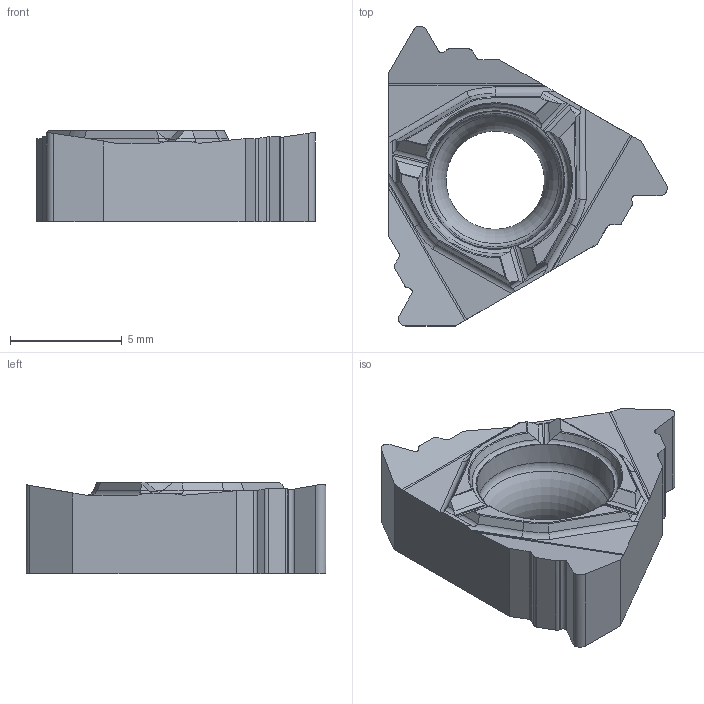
import cadquery as cq
import math

TEETH = 3
PITCH_ANGLE = 360 / TEETH
INSCRIBED_RADIUS = 9.525 / 2
TOP_Z = 4.1
FLOOR_Z = 3.525
PAD_Z = 3.6

FLANK_ANGLE = 60
TIP_RADIUS = 0.32
TIP_CENTER = (-3.368, 6.574)
EDGE_RADIUS = 0.18
LAND_Y = 5.87
LAND_START_X = -2.14
LAND_END_X = -1.075
ROOT_Y = 5.38
VALLEY_RISE_ANGLE = 45

RAKE_ANGLE = 10
RAKE_START_Y = 4.27
RAKE_BLEND_RADIUS = 0.5

FRONT_EDGE = 3.715
FRONT_CORNER_SPAN = 30
BACK_EDGE = 3.61
BACK_EDGE_TURN = 120.7
SIDE_EDGE = 4.237
WALL_DRAFT = 24
FLOOR_FOOT_RADIUS = 0.31
PAD_FOOT_RADIUS = 0.2
TOP_EDGE_RADIUS = 0.05

GROOVE_TURN = 46
GROOVE_FLOOR_HALF_WIDTH = 0.04
GROOVE_WALL_ANGLE = 40
GROOVE_FOOT_RADIUS = 0.3

MOUTH_RADIUS = 3.43
MOUTH_DRAFT = 21.5
LEDGE_Z = 3.62
LEDGE_FOOT_RADIUS = 0.2
LEDGE_RADIUS = 3.07
HEAD_BORE_RADIUS = 3.0
HEAD_BORE_END_Z = 2.69
SEAT_START_RADIUS = 2.845
SEAT_ANGLE = 45
BORE_RADIUS = 2.2

CLEARANCE = 4 * INSCRIBED_RADIUS
OVERSHOOT = 1
MATCH = 1e-4


def around(x, y, degrees):
    """Turn a plan point about the insert axis."""
    a = math.radians(degrees)
    return (x * math.cos(a) - y * math.sin(a), x * math.sin(a) + y * math.cos(a))


def crossing(p, p_angle, q, q_angle):
    """Intersection of two lines, each given by a point and a direction in degrees."""
    ux, uy = math.cos(math.radians(p_angle)), math.sin(math.radians(p_angle))
    vx, vy = math.cos(math.radians(q_angle)), math.sin(math.radians(q_angle))
    t = ((q[0] - p[0]) * vy - (q[1] - p[1]) * vx) / (ux * vy - uy * vx)
    return (p[0] + t * ux, p[1] + t * uy)


def rounded_wire(corners, plane="XY"):
    """Closed outline through (point, radius) corners, each rounded with a tangent arc."""
    stops = []
    for i, (p, radius) in enumerate(corners):
        if radius == 0:
            stops.append((p,))
            continue
        before = corners[i - 1][0]
        after = corners[(i + 1) % len(corners)][0]
        b = math.atan2(before[1] - p[1], before[0] - p[0])
        a = math.atan2(after[1] - p[1], after[0] - p[0])
        half = abs((a - b + math.pi) % (2 * math.pi) - math.pi) / 2
        tangent = radius / math.tan(half)
        bisector = math.atan2(math.sin(a) + math.sin(b), math.cos(a) + math.cos(b))
        reach = radius / math.sin(half) - radius
        stops.append((
            (p[0] + tangent * math.cos(b), p[1] + tangent * math.sin(b)),
            (p[0] + reach * math.cos(bisector), p[1] + reach * math.sin(bisector)),
            (p[0] + tangent * math.cos(a), p[1] + tangent * math.sin(a)),
        ))
    here = stops[0][-1]
    path = cq.Workplane(plane).moveTo(*here)
    for stop in stops[1:] + stops[:1]:
        if math.dist(here, stop[0]) > MATCH:
            path = path.lineTo(*stop[0])
        if len(stop) > 1:
            path = path.threePointArc(stop[1], stop[2])
        here = stop[-1]
    return path.close()


def turned(solid, degrees):
    """The solid turned about the insert axis."""
    return solid.rotate((0, 0, 0), (0, 0, 1), degrees)


def repeat(solid):
    """The solid together with its copies at the other teeth."""
    copies = solid
    for i in range(1, TEETH):
        copies = copies.union(turned(solid, -PITCH_ANGLE * i))
    return copies


def tooth_corners():
    """Corners of one tooth, from the left side of the triangle to the next side."""
    flank = math.radians(FLANK_ANGLE)
    apex = (TIP_CENTER[0], TIP_CENTER[1] + TIP_RADIUS / math.cos(flank))
    side_start = crossing((-INSCRIBED_RADIUS, 0), 90, apex, FLANK_ANGLE)
    land_start = (LAND_START_X, LAND_Y)
    land_end = (LAND_END_X, LAND_Y)
    valley = crossing(apex, -FLANK_ANGLE, land_start, VALLEY_RISE_ANGLE)
    root = crossing(land_end, -FLANK_ANGLE, (0, ROOT_Y), 0)
    next_side = around(-INSCRIBED_RADIUS, 0, -PITCH_ANGLE)
    side_end = crossing((0, ROOT_Y), 0, next_side, 90 - PITCH_ANGLE)
    return [
        (side_start, 0),
        (apex, TIP_RADIUS),
        (valley, EDGE_RADIUS),
        (land_start, EDGE_RADIUS),
        (land_end, EDGE_RADIUS),
        (root, EDGE_RADIUS),
        (side_end, 0),
    ]


def plate():
    """Full-height plate with the toothed outline."""
    corners = []
    for i in range(TEETH):
        corners += [(around(*p, -PITCH_ANGLE * i), r) for p, r in tooth_corners()]
    return rounded_wire(corners).extrude(TOP_Z)


def space_above_rakes():
    """Everything above the floor and the three inclined rake faces."""
    rise = math.tan(math.radians(RAKE_ANGLE)) * (CLEARANCE - RAKE_START_Y)
    profile = [
        ((-CLEARANCE, FLOOR_Z), 0),
        ((RAKE_START_Y, FLOOR_Z), RAKE_BLEND_RADIUS),
        ((CLEARANCE, FLOOR_Z + rise), 0),
        ((CLEARANCE, CLEARANCE), 0),
        ((-CLEARANCE, CLEARANCE), 0),
    ]
    one_space = rounded_wire(profile, "YZ").extrude(CLEARANCE, both=True)
    space = one_space
    for i in range(1, TEETH):
        space = space.intersect(turned(one_space, -PITCH_ANGLE * i))
    return space


def wall_profile(edge, foot_z, foot_radius):
    """Section outside a drafted boss wall whose top edge is `edge` away from the axis."""
    slope = math.tan(math.radians(WALL_DRAFT))
    foot = edge + slope * (TOP_Z - foot_z)
    above = TOP_Z + OVERSHOOT
    return rounded_wire([
        ((edge - slope * OVERSHOOT, above), 0),
        ((foot, foot_z), foot_radius),
        ((CLEARANCE, foot_z), 0),
        ((CLEARANCE, above), 0),
    ], "YZ")


def space_around_boss():
    """Everything outside the boss walls."""
    front = wall_profile(FRONT_EDGE, FLOOR_Z, FLOOR_FOOT_RADIUS).extrude(CLEARANCE)
    corner_profile = wall_profile(FRONT_EDGE, FLOOR_Z, FLOOR_FOOT_RADIUS)
    corner = corner_profile.revolve(FRONT_CORNER_SPAN, (0, 0, 0), (0, 1, 0))
    back = wall_profile(BACK_EDGE, FLOOR_Z, FLOOR_FOOT_RADIUS).extrude(CLEARANCE, both=True)
    side = wall_profile(SIDE_EDGE, PAD_Z, PAD_FOOT_RADIUS).extrude(CLEARANCE, both=True)
    walls = front.union(corner)
    walls = walls.union(turned(back, BACK_EDGE_TURN - 90))
    return repeat(walls.union(turned(side, 90)))


def groove():
    """Cutter for one radial groove, its floor level with the pads."""
    wall_angle = math.radians(GROOVE_WALL_ANGLE)
    foot = GROOVE_FLOOR_HALF_WIDTH + GROOVE_FOOT_RADIUS * math.tan(wall_angle / 2)
    above = TOP_Z + OVERSHOOT
    top = foot + (above - PAD_Z) / math.tan(wall_angle)
    section = rounded_wire([
        ((-top, above), 0),
        ((-foot, PAD_Z), GROOVE_FOOT_RADIUS),
        ((foot, PAD_Z), GROOVE_FOOT_RADIUS),
        ((top, above), 0),
    ], "YZ")
    return turned(section.extrude(CLEARANCE), GROOVE_TURN)


def screw_hole():
    """Revolved cutter: drafted mouth, ledge, head bore and bell-shaped seat."""
    slope = math.tan(math.radians(MOUTH_DRAFT))
    above = TOP_Z + OVERSHOOT
    tilt = math.radians(SEAT_ANGLE)
    neck = (HEAD_BORE_RADIUS - SEAT_START_RADIUS) / math.tan(tilt / 2)
    neck_radius = neck / math.sin(tilt)
    neck_corner = (HEAD_BORE_RADIUS, HEAD_BORE_END_Z - neck_radius * math.tan(tilt / 2))
    seat_radius = (SEAT_START_RADIUS - BORE_RADIUS) / (1 - math.cos(tilt))
    throat_z = HEAD_BORE_END_Z - neck - seat_radius * math.sin(tilt)
    flare = math.asin(throat_z / seat_radius)
    exit_point = (BORE_RADIUS + seat_radius * (1 - math.cos(flare)), 0)
    exit_heading = 90 + math.degrees(flare)
    seat_corner = crossing(neck_corner, 90 - SEAT_ANGLE, exit_point, exit_heading)
    below = crossing(exit_point, exit_heading, (0, -OVERSHOOT), 0)
    return rounded_wire([
        ((0, above), 0),
        ((MOUTH_RADIUS + slope * OVERSHOOT, above), 0),
        ((MOUTH_RADIUS - slope * (TOP_Z - LEDGE_Z), LEDGE_Z), LEDGE_FOOT_RADIUS),
        ((LEDGE_RADIUS, LEDGE_Z), 0),
        ((HEAD_BORE_RADIUS, HEAD_BORE_END_Z), 0),
        (neck_corner, neck_radius),
        (seat_corner, seat_radius),
        (below, 0),
        ((0, -OVERSHOOT), 0),
    ], "XZ").revolve(360, (0, 0, 0), (0, 1, 0))


body = plate().cut(space_above_rakes().intersect(space_around_boss()))
body = body.cut(repeat(groove())).cut(screw_hole())
result = body.faces(">Z").edges().fillet(TOP_EDGE_RADIUS)